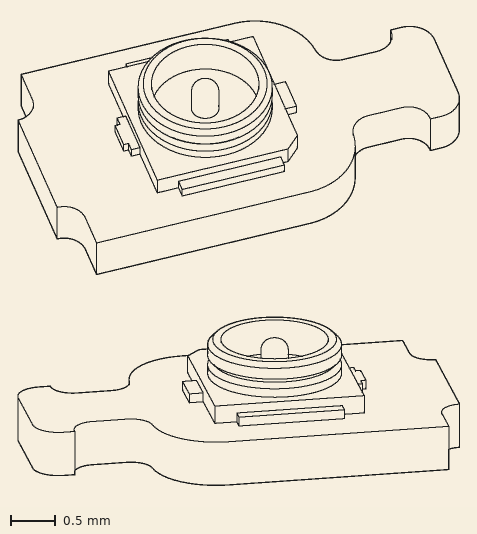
import cadquery as cq
import math


board_length = 4.79
board_half_width = 1.35
board_thickness = 0.515
board_front_y = -1.965
board_back_y = board_front_y + board_length
notch_radius = 0.25
front_half_width = 0.7
shoulder_start_y = 0.785
shoulder_radius = 0.735
neck_half_width = 0.45
neck_radius = 0.25
head_half_width = 0.715
head_length = 0.42
head_corner_radius = 0.29

base_clearance = 0.045
base_length_x = 1.75
base_length_y = 1.695
base_height = 0.205
base_corner_chamfer = 0.165
base_bottom = board_thickness + base_clearance
base_top = base_bottom + base_height
tab_height = 0.105
tab_reach = 1.005
side_tab_width = 1.198
back_tab_width = 0.395
front_tab_width = 0.51
front_tab_reach = 0.95
front_tab_tip_width = 0.305

ring_height = 0.4
ring_radius = 0.745
ring_bore_radius = 0.6
rim_chamfer = 0.057
groove_depth = 0.057
groove_half_width = 0.057
groove_center_height = 0.16
pin_radius = 0.155
pin_tip_round = 0.125


def make_board():
    """Bottle-shaped board: notched front corners, round shoulders, narrow neck and wider head."""
    diagonal = math.sqrt(0.5)
    notch_top_y = board_front_y + notch_radius
    notch_outer_x = front_half_width + notch_radius
    notch_mid = (
        notch_outer_x - notch_radius * diagonal,
        board_front_y + notch_radius * diagonal,
    )

    shoulder_x = board_half_width - shoulder_radius
    neck_arc_x = neck_half_width + neck_radius
    center_dx = neck_arc_x - shoulder_x
    center_dy = math.sqrt((shoulder_radius + neck_radius) ** 2 - center_dx**2)
    neck_arc_y = shoulder_start_y + center_dy
    shoulder_share = shoulder_radius / (shoulder_radius + neck_radius)
    shoulder_end = (
        shoulder_x + center_dx * shoulder_share,
        shoulder_start_y + center_dy * shoulder_share,
    )
    shoulder_mid_angle = math.atan2(center_dy, center_dx) / 2
    shoulder_mid = (
        shoulder_x + shoulder_radius * math.cos(shoulder_mid_angle),
        shoulder_start_y + shoulder_radius * math.sin(shoulder_mid_angle),
    )
    neck_mid = (neck_arc_x - neck_radius * diagonal, neck_arc_y - neck_radius * diagonal)

    head_front_y = board_back_y - head_length
    neck_end_y = head_front_y - neck_radius
    head_arc_mid = (neck_arc_x - neck_radius * diagonal, neck_end_y + neck_radius * diagonal)
    corner_x = head_half_width - head_corner_radius
    corner_y = board_back_y - head_corner_radius
    corner_mid = (
        corner_x + head_corner_radius * diagonal,
        corner_y + head_corner_radius * diagonal,
    )

    right_half = (
        cq.Workplane("XY")
        .moveTo(0, board_front_y)
        .lineTo(front_half_width, board_front_y)
        .threePointArc(notch_mid, (notch_outer_x, notch_top_y))
        .lineTo(board_half_width, notch_top_y)
        .lineTo(board_half_width, shoulder_start_y)
        .threePointArc(shoulder_mid, shoulder_end)
        .threePointArc(neck_mid, (neck_half_width, neck_arc_y))
        .lineTo(neck_half_width, neck_end_y)
        .threePointArc(head_arc_mid, (neck_arc_x, head_front_y))
        .lineTo(head_half_width, head_front_y)
        .lineTo(head_half_width, corner_y)
        .threePointArc(corner_mid, (corner_x, board_back_y))
        .lineTo(0, board_back_y)
    )
    return right_half.mirrorY().extrude(board_thickness)


def make_tab(x_min, x_max, y_min, y_max):
    """Flat solder tab level with the underside of the connector base."""
    return (
        cq.Workplane("XY", origin=(0, 0, base_bottom))
        .moveTo(x_min, y_min)
        .lineTo(x_max, y_min)
        .lineTo(x_max, y_max)
        .lineTo(x_min, y_max)
        .close()
        .extrude(tab_height)
    )


def make_base():
    """Square base with one chamfered corner and tabs on all four sides."""
    block = (
        cq.Workplane("XY", origin=(0, 0, base_bottom))
        .rect(base_length_x, base_length_y)
        .extrude(base_height)
        .edges("|Z and >(1, 1, 0)")
        .chamfer(base_corner_chamfer)
    )
    side_tabs = make_tab(-tab_reach, tab_reach, -side_tab_width / 2, side_tab_width / 2)
    back_tab = make_tab(-back_tab_width / 2, back_tab_width / 2, 0, tab_reach)
    front_tab = make_tab(-front_tab_width / 2, front_tab_width / 2, -front_tab_reach, 0)
    front_tip = make_tab(-front_tab_tip_width / 2, front_tab_tip_width / 2, -tab_reach, 0)
    return block.union(side_tabs).union(back_tab).union(front_tab).union(front_tip)


def make_ring():
    """Mating ring with a chamfered rim and a V-shaped snap groove around it."""
    ring_top = base_top + ring_height
    groove_z = base_top + groove_center_height
    return (
        cq.Workplane("XZ")
        .moveTo(ring_bore_radius, base_top)
        .lineTo(ring_radius, base_top)
        .lineTo(ring_radius, groove_z - groove_half_width)
        .lineTo(ring_radius - groove_depth, groove_z)
        .lineTo(ring_radius, groove_z + groove_half_width)
        .lineTo(ring_radius, ring_top - rim_chamfer)
        .lineTo(ring_radius - rim_chamfer, ring_top)
        .lineTo(ring_bore_radius, ring_top)
        .close()
        .revolve(360, (0, 0), (0, 1))
    )


def make_pin():
    """Centre contact with a rounded tip, level with the rim of the ring."""
    return (
        cq.Workplane("XY", origin=(0, 0, base_top))
        .circle(pin_radius)
        .extrude(ring_height)
        .faces(">Z")
        .edges()
        .fillet(pin_tip_round)
    )


def make_connector():
    return make_base().union(make_ring()).union(make_pin())


board = make_board()
connector = make_connector()
result = cq.Compound.makeCompound([board.val(), *connector.solids().vals()])